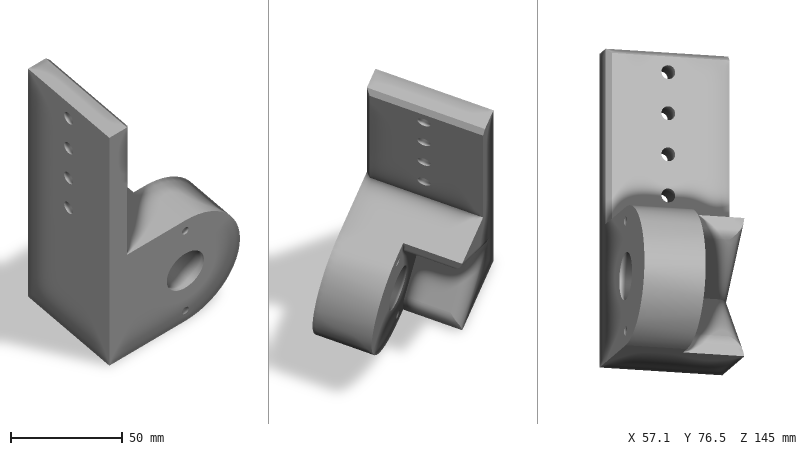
import cadquery as cq

width = 57.1
height = 145.0
plate_thickness = 12.6
base_height = 64.0
end_radius = base_height / 2
overall_depth = 76.5
bore_y = overall_depth - end_radius
bore_z = base_height / 2
foot_depth = 38.0
lug_thickness = width / 2

bore_diameter = 21.8
pin_diameter = 4.0
pin_offset = 25.4
plate_hole_diameter = 6.4
plate_hole_pitch = 19.0
plate_hole_count = 4
plate_top_margin = 9.5

plate_chamfer = 2.3
notch_fillet = 6.4
notch_tip_y = 13.8
notch_tip_z = 31.6
prong_size = 217.5


def box_from_origin(x_size, y_size, z_size):
    """Box in the positive octant with one corner at the origin."""
    return cq.Workplane("XY").box(x_size, y_size, z_size, centered=False)


def make_plate():
    """Upright plate, chamfered along its rear top and rear +X edges."""
    plate = box_from_origin(width, plate_thickness, height)
    return plate.faces(">Y").edges(">Z or >X").chamfer(plate_chamfer)


def make_prong(tilt):
    """Block bounded by one notch wall with a rounded -X edge, tilted about X by the given degrees."""
    prong = (
        cq.Workplane("XY")
        .box(lug_thickness, prong_size, prong_size, centered=(False, True, False))
        .faces("<X")
        .edges("<Z")
        .fillet(notch_fillet)
    )
    prong = prong.rotate((0, 0, 0), (1, 0, 0), tilt)
    return prong.translate((0, notch_tip_y, notch_tip_z))


def make_foot():
    """Foot beside the lug: a V-notched rear end with rounded wall ends and rounded -X edges."""
    rear_lower_z = notch_tip_z - (foot_depth - notch_tip_y)
    rear_upper_z = notch_tip_z + (foot_depth - notch_tip_y)
    foot = (
        cq.Workplane("YZ")
        .lineTo(foot_depth, 0)
        .lineTo(foot_depth, rear_lower_z)
        .lineTo(notch_tip_y, notch_tip_z)
        .lineTo(foot_depth, rear_upper_z)
        .lineTo(foot_depth, base_height)
        .lineTo(0, base_height)
        .close()
        .extrude(lug_thickness)
    )
    selection_margin = 1.5
    corner_selector = cq.selectors.BoxSelector(
        (0, foot_depth - selection_margin, rear_lower_z - selection_margin),
        (lug_thickness, foot_depth + selection_margin, rear_upper_z + selection_margin),
    )
    wall_ends = foot.edges("|X").edges(corner_selector)
    return wall_ends.fillet(notch_fillet).intersect(make_prong(45).union(make_prong(135)))


def make_lug():
    """Lug with a rounded end, reaching forward to the front face."""
    return (
        cq.Workplane("YZ", origin=(width - lug_thickness, 0, 0))
        .lineTo(bore_y, 0)
        .threePointArc((bore_y + end_radius, bore_z), (bore_y, base_height))
        .lineTo(0, base_height)
        .close()
        .extrude(lug_thickness)
    )


def make_lug_holes():
    """Bore and the pin holes above and below it, all along X."""
    bore_axis = cq.Workplane("YZ", origin=(0, bore_y, bore_z))
    bore = bore_axis.circle(bore_diameter / 2).extrude(width)
    pin_points = [(0, pin_offset), (0, -pin_offset)]
    pins = bore_axis.pushPoints(pin_points).circle(pin_diameter / 2).extrude(width)
    return bore.union(pins)


def make_plate_holes():
    """Vertical row of holes through the plate along Y."""
    top_hole_z = height - plate_top_margin
    points = [(width / 2, top_hole_z - i * plate_hole_pitch) for i in range(plate_hole_count)]
    return cq.Workplane("XZ").pushPoints(points).circle(plate_hole_diameter / 2).extrude(-plate_thickness)


upright = make_plate().cut(box_from_origin(width, plate_thickness, base_height))
body = make_foot().union(make_lug()).union(upright)
result = body.cut(make_lug_holes()).cut(make_plate_holes())